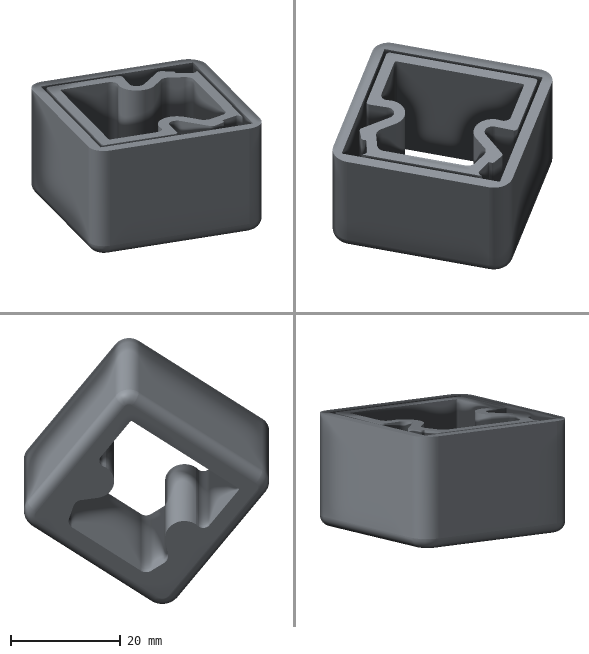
import cadquery as cq
import math

side = 34.0
height = 21.0
wall = 2.0
floor_thickness = wall
front_corner_radius = 3.03
back_corner_radius = 3.55
bottom_edge_radius = 2.0

clearance = 0.68
sleeve_half = side / 2 - wall - clearance
sleeve_thickness = 2.05
opening_half = sleeve_half - sleeve_thickness
sleeve_corner_radius = 0.68
opening_corner_radius = 0.35

waist_center_x = -10.13
waist_center_y = 1.97
waist_outer_radius = 1.5
waist_inner_radius = waist_outer_radius + sleeve_thickness
shoulder_rise = 0.1
shoulder_radius = 1.35


def arc_point(center, radius, angle):
    """Point on a circle, with the angle in degrees from +X."""
    turn = math.radians(angle)
    return (center[0] + radius * math.cos(turn), center[1] + radius * math.sin(turn))


def mirrored_prism(half_outline, base_z):
    """Extrude a half outline from base_z to the rim and mirror it across the YZ plane."""
    half = half_outline.close().extrude(height - base_z).translate((0, 0, base_z))
    return half.union(half.mirror("YZ")).clean()


def add_waist(outline, radius):
    """Run into the waist along a 45 degree flank and round it to its lowest point."""
    center = (waist_center_x, waist_center_y)
    return outline.lineTo(*arc_point(center, radius, 45)).threePointArc(
        arc_point(center, radius, -22.5), arc_point(center, radius, -90)
    )


def add_corner(outline, corner_x, corner_y, radius):
    """Round the shoulder, turning from the -X direction to the -Y direction."""
    center = (corner_x + radius, corner_y - radius)
    return outline.lineTo(center[0], corner_y).threePointArc(
        arc_point(center, radius, 135), (corner_x, center[1])
    )


def add_bottom_corner(outline, half_size, radius):
    """Round the lower left corner and return to the YZ plane."""
    center = (radius - half_size, radius - half_size)
    outline = outline.lineTo(-half_size, center[1])
    outline = outline.threePointArc(arc_point(center, radius, 225), (center[0], -half_size))
    return outline.lineTo(0, -half_size)


def make_housing():
    body = cq.Workplane("XY").box(side, side, height, centered=(True, True, False))
    body = body.edges("|Z and <Y").fillet(front_corner_radius)
    body = body.edges("|Z and >Y").fillet(back_corner_radius)
    body = body.faces("<Z").edges().fillet(bottom_edge_radius)
    pocket_side = side - 2 * wall
    pocket = (
        cq.Workplane("XY")
        .workplane(offset=floor_thickness)
        .rect(pocket_side, pocket_side)
        .extrude(height - floor_thickness)
    )
    return body.cut(pocket)


def make_sleeve():
    outline = cq.Workplane("XY").moveTo(0, sleeve_half).lineTo(-11.45, sleeve_half)
    outline = outline.threePointArc((-10.88, 13.97), (-10.57, 13.45))
    outline = outline.lineTo(-11.65, 10.15).lineTo(-11.73, 10.3).lineTo(-12.17, 10.3)
    outline = outline.threePointArc((-12.48, 10.2), (-12.68, 9.85))
    outline = outline.lineTo(-13.43, 8.15).threePointArc((-13.5, 7.72), (-13.33, 7.3))
    outline = add_waist(outline, waist_outer_radius)
    shoulder_y = waist_center_y - waist_outer_radius + shoulder_rise
    outline = add_corner(outline, -sleeve_half, shoulder_y, sleeve_corner_radius)
    outline = add_bottom_corner(outline, sleeve_half, sleeve_corner_radius)
    return mirrored_prism(outline, floor_thickness)


def make_opening():
    outline = cq.Workplane("XY").moveTo(0, opening_half).lineTo(-7.95, opening_half)
    outline = outline.threePointArc((-8.85, 11.85), (-9.35, 11.0))
    outline = outline.lineTo(-10.25, 8.45).threePointArc((-10.3, 7.65), (-10.05, 6.9))
    outline = add_waist(outline, waist_inner_radius)
    shoulder_y = waist_center_y - waist_inner_radius + shoulder_rise
    outline = add_corner(outline, -opening_half, shoulder_y, shoulder_radius)
    outline = add_bottom_corner(outline, opening_half, opening_corner_radius)
    return mirrored_prism(outline, 0)


result = make_housing().union(make_sleeve()).cut(make_opening())